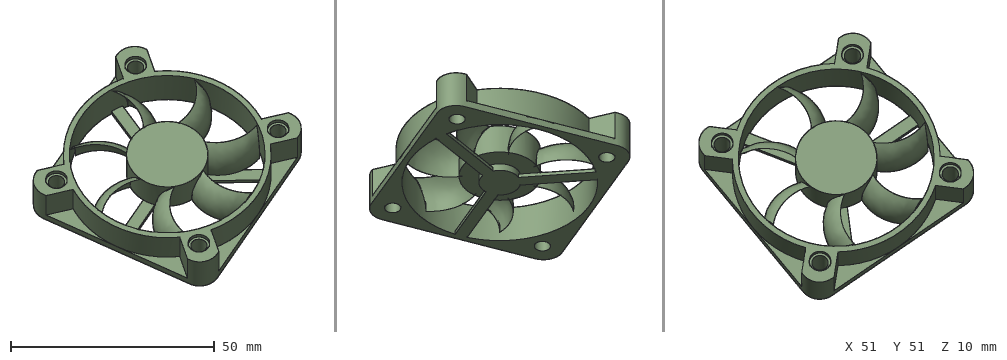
import cadquery as cq
import math

side = 51.0
height = 10.0
corner_radius = 5.0
flange_thickness = 2.0
bore_diameter = 48.0
lug_width = 8.0

hole_spacing = 40.0
hole_diameter = 4.0
counterbore_diameter = 5.3
counterbore_depth = 1.0

hub_diameter = 20.0
hub_bottom = 2.0
strut_width = 3.2
strut_thickness = 1.0
strut_angles = (30, 150, 270)
pedestal_diameter = 10.2

blade_count = 7
blade_thickness = 0.4
blade_top = 9.85
blade_bottom = 1.9
blade_tip = 23.15
blade_root = 9.2
blade_lean = 4.2
sweep_radius = 12.5
sweep_apex_distance = 14.3
top_edge_apex = -1.5
section_count = 7


def make_frame():
    """Square flange, round duct and four corner lugs, bored right through."""
    block = cq.Workplane().rect(side, side).extrude(height).edges("|Z").fillet(corner_radius)
    flange = cq.Workplane().rect(side, side).extrude(flange_thickness).edges("|Z").fillet(corner_radius)
    duct = cq.Workplane().circle(side / 2).extrude(height)
    diagonal = cq.Workplane().rect(2 * side, lug_width).extrude(height)
    bands = diagonal.rotate((0, 0, 0), (0, 0, 1), 45).union(diagonal.rotate((0, 0, 0), (0, 0, 1), -45))
    lugs = block.intersect(bands)
    frame = flange.union(duct).union(lugs)
    frame = frame.cut(cq.Workplane().circle(bore_diameter / 2).extrude(height))
    return (
        frame.faces(">Z").workplane(origin=(0, 0, height))
        .rect(hole_spacing, hole_spacing, forConstruction=True).vertices()
        .cboreHole(hole_diameter, counterbore_diameter, counterbore_depth)
    )


def make_strut(angle):
    """Flat radial bar from the fan axis into the duct wall."""
    length = (bore_diameter + side) / 4
    strut = cq.Workplane().rect(length, strut_width).extrude(strut_thickness).translate((length / 2, 0, 0))
    return strut.rotate((0, 0, 0), (0, 0, 1), angle)


def blade_shift(distance):
    """Sideways place of the blade's top edge at a distance from the fan axis."""
    offset = distance - sweep_apex_distance
    return top_edge_apex - sweep_radius + math.sqrt(sweep_radius**2 - offset**2)


def make_blade():
    """Curved blade along +Y: one crescent section shifted sideways along an arc."""
    drop = blade_top - blade_bottom
    hollow_radius = (blade_lean**2 + drop**2) / (2 * blade_lean)
    mid_angle = math.asin(drop / hollow_radius) / 2
    arc_centre_x = blade_lean - hollow_radius

    def arc_middle(radius):
        return arc_centre_x + radius * math.cos(mid_angle), blade_bottom + radius * math.sin(mid_angle)

    top = (0, blade_top)
    bottom = (blade_lean, blade_bottom)
    hollow_middle = arc_middle(hollow_radius)
    outer_middle = arc_middle(hollow_radius + blade_thickness)

    sections = []
    for index in range(section_count):
        distance = blade_root + index * (blade_tip - blade_root) / (section_count - 1)
        section = (
            cq.Workplane("XZ", origin=(blade_shift(distance), distance, 0))
            .moveTo(*top)
            .threePointArc(outer_middle, bottom)
            .threePointArc(hollow_middle, top)
            .close()
        )
        sections.append(section.val())
    return cq.Workplane(cq.Solid.makeLoft(sections))


hub = cq.Workplane().workplane(offset=hub_bottom).circle(hub_diameter / 2).extrude(height - hub_bottom)
pedestal = cq.Workplane().circle(pedestal_diameter / 2).extrude(hub_bottom)

result = make_frame().union(pedestal).union(hub)
for angle in strut_angles:
    result = result.union(make_strut(angle))

blade = make_blade()
for index in range(blade_count):
    result = result.union(blade.rotate((0, 0, 0), (0, 0, 1), index * 360 / blade_count))